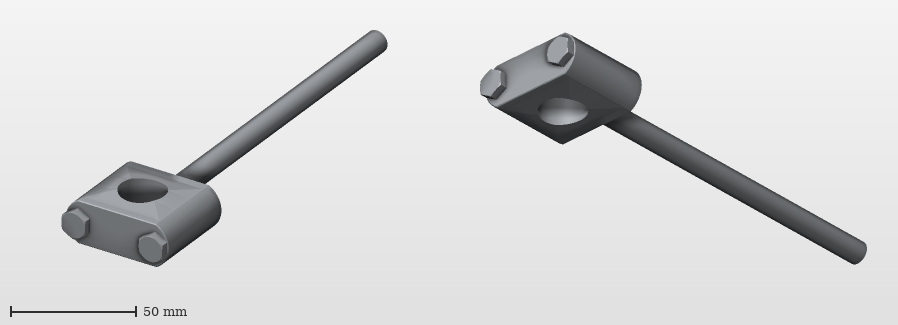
import cadquery as cq
import math

OVERALL_WIDTH = 49.0
OVERALL_LENGTH = 195.0
OVERALL_HEIGHT = 22.8

FLAT_HEIGHT = 19.5
FLAT_WIDTH = 37.0
BODY_LENGTH = 39.0
BODY_FRONT = -19.1
BODY_BACK = BODY_FRONT + BODY_LENGTH
FRONT_CHAMFER = 0.4
HOLE_RADIUS = 10.1

PAD_HALF_X = 18.0
PAD_HALF_Y = 15.8
PAD_BASE_Z = FLAT_HEIGHT / 2
PAD_TOP_Z = OVERALL_HEIGHT / 2
STRIP_HALF_Y = 5.0
RIM_X = math.sqrt(HOLE_RADIUS**2 - STRIP_HALF_Y**2)

HEAD_FLATS = 11.1
HEAD_HEIGHT = 3.7
HEAD_CHAMFER = 0.4
BOLT_X = 18.3

ROD_DIAMETER = 10.0
ROD_CHAMFER = 0.4
ROD_LENGTH = OVERALL_LENGTH - BODY_LENGTH - HEAD_HEIGHT


def clamp_body():
    """Straight bar along Y with bowed ends and a lightly chamfered front edge."""
    x = FLAT_WIDTH / 2
    z = FLAT_HEIGHT / 2
    end_x = OVERALL_WIDTH / 2
    return (
        cq.Workplane("XZ", origin=(0, BODY_BACK, 0))
        .moveTo(-x, -z)
        .lineTo(x, -z)
        .threePointArc((end_x, 0), (x, z))
        .lineTo(-x, z)
        .threePointArc((-end_x, 0), (-x, -z))
        .close()
        .extrude(BODY_LENGTH)
        .faces("<Y")
        .chamfer(FRONT_CHAMFER)
    )


def hipped_pad():
    """Pad whose four sides slope up from a rectangle and rise to a level top at PAD_TOP_Z."""

    def trapezoid_bar(plane, half_base, half_top, half_length):
        outline = [
            (-half_base, PAD_BASE_Z),
            (half_base, PAD_BASE_Z),
            (half_top, PAD_TOP_Z),
            (-half_top, PAD_TOP_Z),
        ]
        return cq.Workplane(plane).polyline(outline).close().extrude(half_length, both=True)

    front_and_back = trapezoid_bar("YZ", PAD_HALF_Y, STRIP_HALF_Y, PAD_HALF_X)
    left_and_right = trapezoid_bar("XZ", PAD_HALF_X, RIM_X, PAD_HALF_Y)
    return front_and_back.intersect(left_and_right)


def half_strip():
    """Wedge at +X, +Y, ruled from the straight pad edge up to the level arc of the hole rim."""
    half_angle = math.asin(STRIP_HALF_Y / HOLE_RADIUS) / 2
    outer_start = cq.Vector(PAD_HALF_X, 0, PAD_BASE_Z)
    outer_end = cq.Vector(PAD_HALF_X, STRIP_HALF_Y, PAD_BASE_Z)

    def rim_arc(z):
        middle = (HOLE_RADIUS * math.cos(half_angle), HOLE_RADIUS * math.sin(half_angle), z)
        return cq.Edge.makeThreePointArc(
            cq.Vector(HOLE_RADIUS, 0, z), cq.Vector(*middle), cq.Vector(RIM_X, STRIP_HALF_Y, z)
        )

    def side_wall(outer, rim_x):
        low = cq.Vector(rim_x, outer.y, PAD_BASE_Z)
        high = cq.Vector(rim_x, outer.y, PAD_TOP_Z)
        return cq.Face.makeFromWires(cq.Wire.makePolygon([outer, low, high], close=True))

    outer_edge = cq.Edge.makeLine(outer_start, outer_end)
    faces = [
        cq.Face.makeRuledSurface(outer_edge, rim_arc(PAD_TOP_Z)),
        cq.Face.makeRuledSurface(outer_edge, rim_arc(PAD_BASE_Z)),
        cq.Face.makeRuledSurface(rim_arc(PAD_BASE_Z), rim_arc(PAD_TOP_Z)),
        side_wall(outer_start, HOLE_RADIUS),
        side_wall(outer_end, RIM_X),
    ]
    return cq.Workplane(cq.Solid.makeSolid(cq.Shell.makeShell(faces)))


def pad():
    """One pad on the top side, with its level-rimmed strips added at +X and -X."""
    quarter = half_strip()
    side = quarter.union(quarter.mirror("XZ"))
    return hipped_pad().union(side).union(side.mirror("YZ"))


def bolt_head(x):
    """Hexagon head on the front face, one corner up, its outer corners turned off conically."""
    across_corners = HEAD_FLATS / math.cos(math.radians(30))
    corner_depth = (across_corners - HEAD_FLATS) / 2
    front_face = cq.Workplane("XZ", origin=(x, BODY_FRONT, 0))
    hexagon = front_face.transformed(rotate=(0, 0, 90)).polygon(6, across_corners).extrude(HEAD_HEIGHT)
    turned = (
        front_face.circle(across_corners / 2)
        .extrude(HEAD_HEIGHT)
        .faces("<Y")
        .chamfer(HEAD_CHAMFER, corner_depth)
    )
    return hexagon.intersect(turned)


def rod():
    """Round rod on the back of the body, with a fine chamfer where it meets the body."""
    return (
        cq.Workplane("XZ", origin=(0, BODY_BACK, 0))
        .circle(ROD_DIAMETER / 2)
        .extrude(-ROD_LENGTH)
        .faces("<Y")
        .chamfer(ROD_CHAMFER)
    )


top_pad = pad()
solid = clamp_body().union(top_pad).union(top_pad.mirror("XY")).union(rod())
for bolt_x in (-BOLT_X, BOLT_X):
    solid = solid.union(bolt_head(bolt_x))
hole = cq.Workplane("XY").circle(HOLE_RADIUS).extrude(PAD_TOP_Z, both=True)
result = solid.cut(hole)